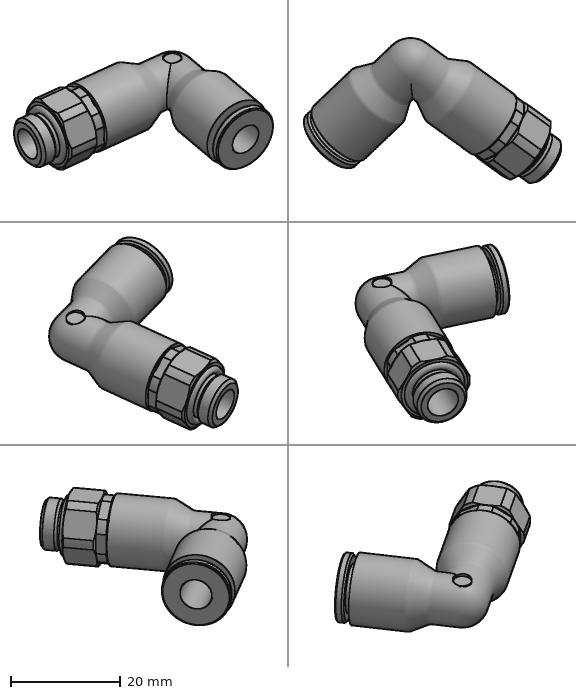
import cadquery as cq
import math


elbow_radius = 4.9
body_radius = 6.75
bore_radius = 2.98
taper_start = 5.48
taper_end = 9.17
taper_blend_radius = 1.0
body_end = 19.9

emblem_radius = 1.75
emblem_floor = 4.33

collar_neck_radius = 4.6
collar_radius = 6.47
collar_start = 20.92
collar_end = 22.6
collar_back_chamfer = 0.4
collar_front_chamfer = 0.25

swivel_neck_radius = 5.95
band_start = 20.13
band_flat_distance = 6.25
band_radius = 6.55
band_flat_angle = 0
nut_start = 22.05
nut_end = 28.35
nut_flat_distance = 6.5
nut_radius = 7.03
nut_flat_angle = 90
nut_face_radius = 6.47
nut_chamfer_angle = 30

spigot_neck_radius = 4.33
ring_tube_radius = 0.75
ring_center = 28.43
thread_radius = 4.85
thread_flank_start = 29.7
thread_chamfer = 0.6
spigot_end = 32.95


def revolve_about_x(points):
    """Solid of revolution from (distance along X, radius) points, closed onto the X axis."""
    outline = [(points[0][0], 0)] + points + [(points[-1][0], 0)]
    return cq.Workplane("XY").polyline(outline).close().revolve(360, (0, 0), (1, 0))


def turn_to_minus_y(shape):
    return shape.rotate((0, 0, 0), (0, 0, 1), -90)


def make_arm():
    """Elbow tube flaring into the larger body, with both ends of the taper blended."""
    arm = revolve_about_x([
        (0, elbow_radius),
        (taper_start, elbow_radius),
        (taper_end, body_radius),
        (body_end, body_radius),
    ])
    for position in (taper_start, taper_end):
        nearest_circle = cq.selectors.NearestToPointSelector((position, 0, 0))
        arm = arm.edges("%CIRCLE").edges(nearest_circle).fillet(taper_blend_radius)
    return arm


def make_collar():
    return revolve_about_x([
        (body_end, collar_neck_radius),
        (collar_start, collar_neck_radius),
        (collar_start, collar_radius - collar_back_chamfer),
        (collar_start + collar_back_chamfer, collar_radius),
        (collar_end - collar_front_chamfer, collar_radius),
        (collar_end, collar_radius - collar_front_chamfer),
    ])


def make_hexagon(flat_distance, start, end, flat_facing_angle):
    """Hexagonal bar along X with one flat facing the given angle, measured from +Y about the X axis."""
    sides = 6
    corner_to_flat_angle = 180 / sides
    corner_diameter = 2 * flat_distance / math.cos(math.radians(corner_to_flat_angle))
    bar = cq.Workplane("YZ", origin=(start, 0, 0)).polygon(sides, corner_diameter).extrude(end - start)
    return bar.rotate((0, 0, 0), (1, 0, 0), flat_facing_angle + corner_to_flat_angle)


def make_band():
    band_round = revolve_about_x([(band_start, band_radius), (nut_start, band_radius)])
    swivel_neck = revolve_about_x([(body_end, swivel_neck_radius), (band_start, swivel_neck_radius)])
    hexagon = make_hexagon(band_flat_distance, band_start, nut_start, band_flat_angle)
    return band_round.intersect(hexagon).union(swivel_neck)


def make_nut():
    chamfer_length = (nut_radius - nut_face_radius) * math.tan(math.radians(nut_chamfer_angle))
    nut_round = revolve_about_x([
        (nut_start, nut_face_radius),
        (nut_start + chamfer_length, nut_radius),
        (nut_end - chamfer_length, nut_radius),
        (nut_end, nut_face_radius),
    ])
    return nut_round.intersect(make_hexagon(nut_flat_distance, nut_start, nut_end, nut_flat_angle))


def make_spigot():
    flank_length = thread_radius - spigot_neck_radius
    spigot = revolve_about_x([
        (nut_end, spigot_neck_radius),
        (thread_flank_start, spigot_neck_radius),
        (thread_flank_start + flank_length, thread_radius),
        (spigot_end - thread_chamfer, thread_radius),
        (spigot_end, thread_radius - thread_chamfer),
    ])
    ring_circle_radius = spigot_neck_radius + ring_tube_radius
    sealing_ring = cq.Solid.makeTorus(
        ring_circle_radius,
        ring_tube_radius,
        cq.Vector(ring_center, 0, 0),
        cq.Vector(1, 0, 0),
    )
    return spigot.union(sealing_ring)


def make_bore():
    """Flow passage through both arms, with a spherical corner."""
    tube_passage = revolve_about_x([(0, bore_radius), (collar_end, bore_radius)])
    spigot_passage = revolve_about_x([(0, bore_radius), (spigot_end, bore_radius)])
    corner = cq.Workplane("XY").sphere(bore_radius)
    return corner.union(tube_passage).union(turn_to_minus_y(spigot_passage))


tube_arm = make_arm().union(make_collar())
spigot_arm = make_arm().union(make_band()).union(make_nut()).union(make_spigot())
corner_ball = cq.Workplane("XY").sphere(elbow_radius)
emblem_recess = (
    cq.Workplane("XY", origin=(0, 0, emblem_floor))
    .circle(emblem_radius)
    .extrude(elbow_radius - emblem_floor)
)

result = (
    tube_arm
    .union(turn_to_minus_y(spigot_arm))
    .union(corner_ball)
    .cut(emblem_recess)
    .cut(make_bore())
)